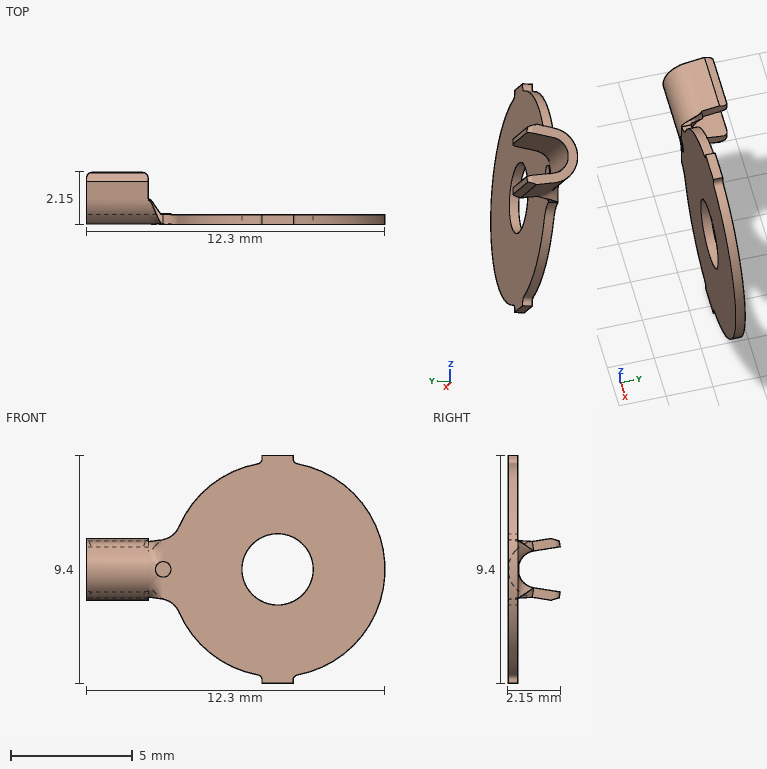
import cadquery as cq
import math


total_length = 12.32
thickness = 0.41
eyelet_radius = 4.44
hole_radius = 1.47
tab_width = 1.29
tab_span = 9.4
tab_root_fillet = 0.2
neck_half_width = 1.22
neck_fillet = 0.89

barrel_start = eyelet_radius - total_length
barrel_length = 2.55
barrel_end = barrel_start + barrel_length
barrel_floor = 0.01
barrel_radius = 1.17
barrel_height = 2.15
ear_flare = math.radians(9)
ear_bevel_start = 1.77
ear_tip_width = 0.25
ear_corner_radius = 0.25

neck_start = -4.72
transition_steps = 4

dimple_radius = 0.32
dimple_depth = 0.05

bore_radius = barrel_radius - thickness
barrel_axis = barrel_floor + barrel_radius


def arm_root(radius):
    """Point where an arc about the barrel axis runs tangent into the flared ear."""
    return barrel_axis - radius * math.sin(ear_flare), radius * math.cos(ear_flare)


def ear_face_z(radius, y):
    """Height on the straight ear face that is tangent to the arc of this radius."""
    root_y, root_z = arm_root(radius)
    return root_z + (y - root_y) * math.tan(ear_flare)


def mirrored(point):
    return point[0], -point[1]


def make_plate():
    plate = cq.Workplane("XZ").circle(eyelet_radius).extrude(-thickness)
    tabs = cq.Workplane("XZ").rect(tab_width, tab_span).extrude(-thickness)
    neck = (
        cq.Workplane("XZ")
        .moveTo(neck_start / 2, 0)
        .rect(-neck_start, 2 * neck_half_width)
        .extrude(-thickness)
    )
    plate = plate.union(tabs).union(neck)

    tab_half = tab_width / 2
    tab_root_z = math.sqrt(eyelet_radius**2 - tab_half**2)
    for x in (-tab_half, tab_half):
        for z in (-tab_root_z, tab_root_z):
            corner = cq.selectors.NearestToPointSelector((x, thickness / 2, z))
            plate = plate.edges(corner).fillet(tab_root_fillet)

    return plate.cut(cq.Workplane("XZ").circle(hole_radius).extrude(-thickness))


def make_neck_fillets():
    """Concave webs between the neck sides and the eyelet rim, cut off where the neck begins."""
    centre_z = neck_half_width + neck_fillet
    centre_distance = eyelet_radius + neck_fillet
    centre_x = -math.sqrt(centre_distance**2 - centre_z**2)
    rim_x = centre_x * eyelet_radius / centre_distance
    rim_z = centre_z * eyelet_radius / centre_distance
    web = (
        cq.Workplane("XZ")
        .polyline([(centre_x, 0), (centre_x, centre_z), (rim_x, rim_z), (rim_x, 0)])
        .close()
        .extrude(-thickness)
    )
    web = web.cut(cq.Workplane("XZ").center(centre_x, centre_z).circle(neck_fillet).extrude(-thickness))
    beyond_neck_start = (
        cq.Workplane("XY")
        .box(eyelet_radius, thickness, 2 * eyelet_radius, centered=(False, False, True))
        .translate((neck_start, 0, 0))
    )
    web = web.intersect(beyond_neck_start)
    return web.union(web.mirror("XY"))


def make_barrel():
    outer_root = arm_root(barrel_radius)
    inner_root = arm_root(bore_radius)
    bevel = (ear_bevel_start, ear_face_z(barrel_radius, ear_bevel_start))
    inner_tip = (barrel_height, ear_face_z(bore_radius, barrel_height))
    outer_tip = (
        inner_tip[0] - ear_tip_width * math.sin(ear_flare),
        inner_tip[1] + ear_tip_width * math.cos(ear_flare),
    )
    barrel = (
        cq.Workplane("YZ", origin=(barrel_start, 0, 0))
        .moveTo(*outer_root)
        .lineTo(*bevel)
        .lineTo(*outer_tip)
        .lineTo(*inner_tip)
        .lineTo(*inner_root)
        .threePointArc((barrel_floor + thickness, 0), mirrored(inner_root))
        .lineTo(*mirrored(inner_tip))
        .lineTo(*mirrored(outer_tip))
        .lineTo(*mirrored(bevel))
        .lineTo(*mirrored(outer_root))
        .threePointArc((barrel_floor, 0), outer_root)
        .close()
        .extrude(barrel_length)
    )
    rounded_ears = (
        cq.Workplane("XY")
        .box(barrel_length, barrel_height, 4 * barrel_radius, centered=(False, False, True))
        .translate((barrel_start, 0, 0))
        .edges("|Z and >Y")
        .fillet(ear_corner_radius)
    )
    return barrel.intersect(rounded_ears)


def make_transition():
    """Loft that flattens the trough of the barrel into the rectangular neck."""
    outer_root = arm_root(barrel_radius)
    inner_root = arm_root(bore_radius)

    def blend(start, end, amount):
        return start + (end - start) * amount

    def flatten_root(root, flat_y, amount):
        """Move the end of a trough arc toward the neck corner at flat_y."""
        return blend(root[0], flat_y, amount), blend(root[1], neck_half_width, amount)

    sections = cq.Workplane("YZ", origin=(barrel_end, 0, 0))
    step_length = (neck_start - barrel_end) / transition_steps
    for step in range(transition_steps + 1):
        progress = step / transition_steps
        flatness = progress**2 * (3 - 2 * progress)
        outer_end = flatten_root(outer_root, 0, flatness)
        inner_end = flatten_root(inner_root, thickness, flatness)
        outer_floor = blend(barrel_floor, 0, flatness)
        if step > 0:
            sections = sections.workplane(offset=step_length)
        sections = sections.moveTo(*outer_end).lineTo(*inner_end)
        if step < transition_steps:
            sections = (
                sections.threePointArc((outer_floor + thickness, 0), mirrored(inner_end))
                .lineTo(*mirrored(outer_end))
                .threePointArc((outer_floor, 0), outer_end)
            )
        else:
            sections = sections.lineTo(*mirrored(inner_end)).lineTo(*mirrored(outer_end))
        sections = sections.close()
    return sections.loft()


def dimple_disc(height):
    """Disc over the bend line, standing from the front face to this height."""
    return cq.Workplane("XZ", origin=(neck_start, 0, 0)).circle(dimple_radius).extrude(-height)


body = make_plate().union(make_neck_fillets()).union(make_transition()).union(make_barrel())
result = body.union(dimple_disc(thickness + dimple_depth)).cut(dimple_disc(dimple_depth))